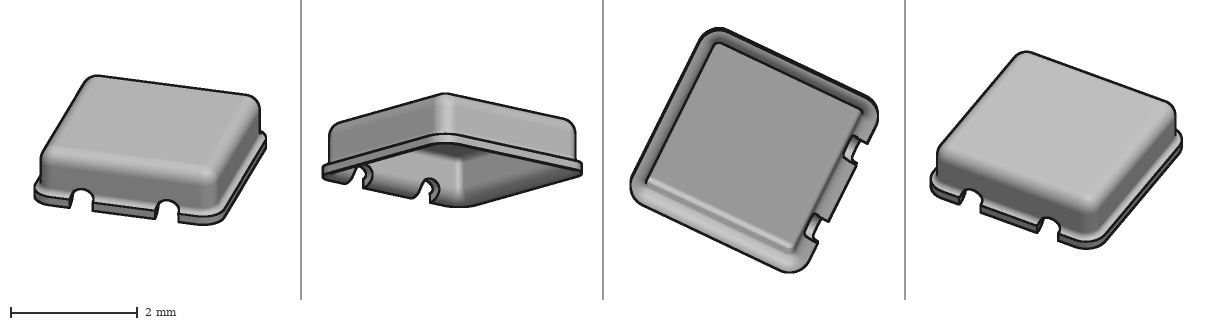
import cadquery as cq
import math

width = 3.1
height = 0.89
sheet = 0.15
tight_radius = 0.1
notch_spacing = 1.4
notch_radius = 0.192
notch_top = 0.31

outer_radius = tight_radius + sheet
rim_radius = outer_radius + tight_radius
flat_half = width / 2 - rim_radius
bend_start = height - outer_radius
flare_start = outer_radius
notch_center = notch_top - notch_radius


def bend_middle(center_x, center_z, radius, angle):
    """Point on a bend arc, at the given angle in degrees around its center."""
    turn = math.radians(angle)
    return (center_x + radius * math.cos(turn), center_z + radius * math.sin(turn))


def wall_profile(plane):
    """Section through top bend, wall and flared rim, starting at the edge of the flat top."""
    return (
        plane.moveTo(0, height)
        .threePointArc(bend_middle(0, bend_start, outer_radius, 45), (outer_radius, bend_start))
        .lineTo(outer_radius, flare_start)
        .threePointArc(bend_middle(rim_radius, flare_start, tight_radius, 225), (rim_radius, sheet))
        .lineTo(rim_radius, 0)
        .threePointArc(bend_middle(rim_radius, flare_start, outer_radius, 225), (tight_radius, flare_start))
        .lineTo(tight_radius, bend_start)
        .threePointArc(bend_middle(0, bend_start, tight_radius, 45), (0, height - sheet))
        .close()
    )


def side_and_corner():
    """One straight wall on the +X side with the rounded corner that follows it."""
    section = cq.Workplane("XZ", origin=(flat_half, flat_half, 0))
    side = wall_profile(section).extrude(2 * flat_half)
    corner = wall_profile(section).revolve(90, (0, 0), (0, 1))
    return side.union(corner)


def notch(center_x):
    """Arched opening through the -Y wall and rim, open at the bottom."""
    depth = width / 4
    face = cq.Workplane("XZ", origin=(center_x, -width / 4, 0))
    arch = face.center(0, notch_center).circle(notch_radius).extrude(depth)
    legs = face.rect(2 * notch_radius, 2 * notch_center).extrude(depth)
    return arch.union(legs)


result = (
    cq.Workplane("XY", origin=(0, 0, height - sheet))
    .rect(2 * flat_half, 2 * flat_half)
    .extrude(sheet)
)
quarter = side_and_corner()
for angle in (0, 90, 180, 270):
    result = result.union(quarter.rotate((0, 0, 0), (0, 0, 1), angle))

for center_x in (-notch_spacing / 2, notch_spacing / 2):
    result = result.cut(notch(center_x))